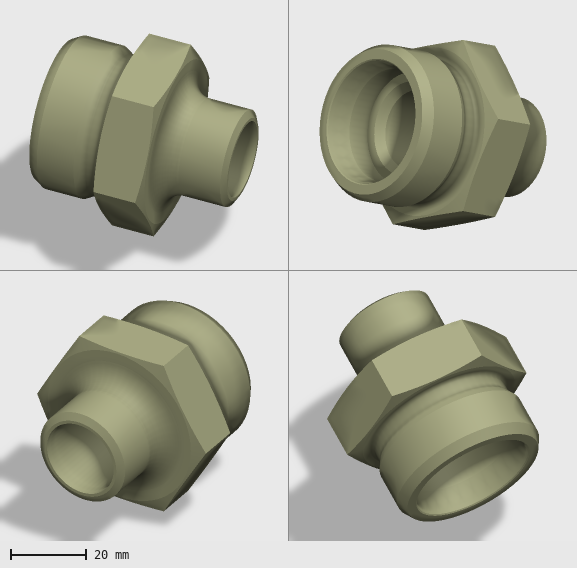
import cadquery as cq
import math

quarter_arc_middle = math.radians(45)

hex_start = 20.0
hex_end = 34.0
total_length = 53.0

thread_radius = 42.0 / 2
thread_end = 13.2
lead_length = 2.75
thread_taper = math.radians(30)
groove_radius = 38.9 / 2
groove_fillet = 1.0

hex_sides = 6
hex_across_flats = 46.0
hex_across_corners = hex_across_flats / math.cos(math.pi / hex_sides)
hex_chamfer_radius = 22.5
hex_chamfer_angle = math.radians(15)

spigot_radius = 26.7 / 2
spigot_fillet = 6.0
spigot_chamfer_length = 1.15
spigot_chamfer_depth = 2.0

bore_radius = 20.96 / 2
bore_chamfer = 2.07
socket_radius = 30.22 / 2
socket_depth = 13.5
cone_mouth_radius = 16.5
cone_half_angle = math.radians(12)
mouth_radius = 16.8
mouth_chamfer = mouth_radius - cone_mouth_radius


def revolve_about_x(profile):
    """Turn a closed (x, radius) profile a full turn about the X axis."""
    return profile.close().revolve(360, (0, 0, 0), (1, 0, 0))


def make_socket_end():
    """Threaded end with lead chamfer, run-out taper and relief groove."""
    face_radius = thread_radius - lead_length * math.tan(thread_taper)
    taper_drop = thread_radius - groove_radius
    taper_end = thread_end + taper_drop / math.tan(thread_taper)

    tangent_length = groove_fillet * math.tan(thread_taper / 2)
    fillet_centre_x = taper_end + tangent_length
    fillet_centre_radius = groove_radius + groove_fillet
    taper_tangent = (
        taper_end - tangent_length * math.cos(thread_taper),
        groove_radius + tangent_length * math.sin(thread_taper),
    )
    fillet_middle = (
        fillet_centre_x - groove_fillet * math.sin(thread_taper / 2),
        fillet_centre_radius - groove_fillet * math.cos(thread_taper / 2),
    )
    shoulder_start = hex_start - groove_fillet
    shoulder_middle = (
        shoulder_start + groove_fillet * math.sin(quarter_arc_middle),
        fillet_centre_radius - groove_fillet * math.cos(quarter_arc_middle),
    )
    profile = (
        cq.Workplane("XY")
        .moveTo(0, 0)
        .lineTo(0, face_radius)
        .lineTo(lead_length, thread_radius)
        .lineTo(thread_end, thread_radius)
        .lineTo(*taper_tangent)
        .threePointArc(fillet_middle, (fillet_centre_x, groove_radius))
        .lineTo(shoulder_start, groove_radius)
        .threePointArc(shoulder_middle, (hex_start, fillet_centre_radius))
        .lineTo(hex_start, 0)
    )
    return revolve_about_x(profile)


def make_hexagon():
    """Hexagon with corners on +Y and -Y, its corners turned off at both ends."""
    hex_length = hex_end - hex_start
    prism = (
        cq.Workplane("YZ", origin=(hex_start, 0, 0))
        .polygon(hex_sides, hex_across_corners)
        .extrude(hex_length)
    )
    corner_radius = hex_across_corners / 2
    corner_setback = (corner_radius - hex_chamfer_radius) * math.tan(hex_chamfer_angle)
    envelope = revolve_about_x(
        cq.Workplane("XY")
        .moveTo(hex_start, 0)
        .lineTo(hex_start, hex_chamfer_radius)
        .lineTo(hex_start + corner_setback, corner_radius)
        .lineTo(hex_end - corner_setback, corner_radius)
        .lineTo(hex_end, hex_chamfer_radius)
        .lineTo(hex_end, 0)
    )
    return prism.intersect(envelope)


def make_spigot():
    """Plain spigot blended into the hexagon face, chamfered at its free end."""
    blend_end = hex_end + spigot_fillet
    blend_centre_radius = spigot_radius + spigot_fillet
    blend_middle = (
        blend_end - spigot_fillet * math.sin(quarter_arc_middle),
        blend_centre_radius - spigot_fillet * math.cos(quarter_arc_middle),
    )
    profile = (
        cq.Workplane("XY")
        .moveTo(hex_end, 0)
        .lineTo(hex_end, blend_centre_radius)
        .threePointArc(blend_middle, (blend_end, spigot_radius))
        .lineTo(total_length - spigot_chamfer_length, spigot_radius)
        .lineTo(total_length, spigot_radius - spigot_chamfer_depth)
        .lineTo(total_length, 0)
    )
    return revolve_about_x(profile)


def make_bore():
    """Conical mouth, cylindrical socket and chamfered through bore."""
    cone_length = (cone_mouth_radius - socket_radius) / math.tan(cone_half_angle)
    cone_end = mouth_chamfer + cone_length
    profile = (
        cq.Workplane("XY")
        .moveTo(0, 0)
        .lineTo(0, mouth_radius)
        .lineTo(mouth_chamfer, cone_mouth_radius)
        .lineTo(cone_end, socket_radius)
        .lineTo(socket_depth, socket_radius)
        .lineTo(socket_depth, bore_radius + bore_chamfer)
        .lineTo(socket_depth + bore_chamfer, bore_radius)
        .lineTo(total_length, bore_radius)
        .lineTo(total_length, 0)
    )
    return revolve_about_x(profile)


body = make_socket_end().union(make_hexagon()).union(make_spigot())
result = body.cut(make_bore())